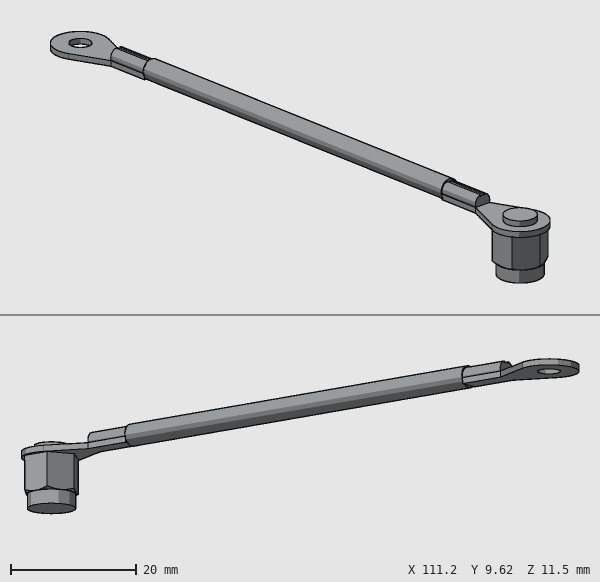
import cadquery as cq
import math

OVERALL_LENGTH = 111.25
OVERALL_HEIGHT = 11.52
EYE_DIAMETER = 9.62

PLATE_THICKNESS = 1.0
NECK_WIDTH = 3.1
PLATE_TOP_Z = -0.4
EYE_HOLE_DIAMETER = 3.7
LUG_END_TO_BARREL = 13.5

BARREL_WIDTH = 3.2
BARREL_TOP_Z = 1.5
BARREL_LOBE_RADIUS = 1.45
BARREL_GAP = 0.9
WIRE_RADIUS = 1.3

SLEEVE_RADIUS = 1.8
LUG_END_TO_SLEEVE = 21.2

HEAD_DIAMETER = 5.5
HEAD_HEIGHT = 1.0
NUT_ACROSS_FLATS = 8.0
NUT_COLLAR_DIAMETER = 7.75
NUT_COLLAR_HEIGHT = 2.3
NUT_CHAMFER_HEIGHT = 0.4

EYE_RADIUS = EYE_DIAMETER / 2
EYE_X = OVERALL_LENGTH / 2 - EYE_RADIUS
BARREL_END_X = OVERALL_LENGTH / 2 - LUG_END_TO_BARREL
SLEEVE_END_X = OVERALL_LENGTH / 2 - LUG_END_TO_SLEEVE
LOBE_OFFSET_Y = BARREL_WIDTH / 2 - BARREL_LOBE_RADIUS
LOBE_CENTRE_Z = BARREL_TOP_Z - BARREL_LOBE_RADIUS
PLATE_BOTTOM_Z = PLATE_TOP_Z - PLATE_THICKNESS
BOTTOM_Z = SLEEVE_RADIUS - OVERALL_HEIGHT
HEX_BOTTOM_Z = BOTTOM_Z + NUT_COLLAR_HEIGHT


def cylinder_along_x(radius, start_x, end_x, centre_y=0, centre_z=0):
    return cq.Workplane("YZ", origin=(start_x, centre_y, centre_z)).circle(radius).extrude(end_x - start_x)


def cylinder_along_z(diameter, x, bottom_z, top_z):
    return cq.Workplane("XY", origin=(x, 0, bottom_z)).circle(diameter / 2).extrude(top_z - bottom_z)


def lug_plate():
    """Right-hand lug: a round eye whose sides run tangentially into a straight tail."""
    neck_half_width = NECK_WIDTH / 2
    neck_offset = EYE_X - BARREL_END_X
    neck_distance = math.hypot(neck_offset, neck_half_width)
    tangent_angle = math.atan2(neck_half_width, neck_offset) + math.acos(EYE_RADIUS / neck_distance)
    tangent_x = EYE_X - EYE_RADIUS * math.cos(tangent_angle)
    tangent_y = EYE_RADIUS * math.sin(tangent_angle)
    return (
        cq.Workplane("XY", origin=(0, 0, PLATE_BOTTOM_Z))
        .moveTo(SLEEVE_END_X, -neck_half_width)
        .lineTo(BARREL_END_X, -neck_half_width)
        .lineTo(tangent_x, -tangent_y)
        .threePointArc((EYE_X + EYE_RADIUS, 0), (tangent_x, tangent_y))
        .lineTo(BARREL_END_X, neck_half_width)
        .lineTo(SLEEVE_END_X, neck_half_width)
        .close()
        .extrude(PLATE_THICKNESS)
    )


def crimp_barrel():
    """Right-hand barrel above the plate, its two lobes parted along the top down to the wire."""
    length = BARREL_END_X - SLEEVE_END_X
    middle_x = (BARREL_END_X + SLEEVE_END_X) / 2
    gap = cq.Workplane("XY", origin=(middle_x, 0, 0)).rect(length, BARREL_GAP).extrude(BARREL_TOP_Z)
    above_plate = (
        cq.Workplane("XY", origin=(middle_x, 0, PLATE_TOP_Z))
        .rect(length, BARREL_WIDTH)
        .extrude(BARREL_TOP_Z - PLATE_TOP_Z)
    )
    barrel = cylinder_along_x(WIRE_RADIUS, SLEEVE_END_X, BARREL_END_X)
    for side in (-1, 1):
        lobe = cylinder_along_x(
            BARREL_LOBE_RADIUS, SLEEVE_END_X, BARREL_END_X, side * LOBE_OFFSET_Y, LOBE_CENTRE_Z
        )
        barrel = barrel.union(lobe.cut(gap))
    return barrel.intersect(above_plate)


def nut():
    """Hexagon with corners on X, chamfered below down to a round collar."""
    across_corners = NUT_ACROSS_FLATS / math.cos(math.pi / 6)
    hexagon_height = PLATE_BOTTOM_Z - HEX_BOTTOM_Z
    hexagon = (
        cq.Workplane("XY", origin=(EYE_X, 0, HEX_BOTTOM_Z))
        .polygon(6, across_corners)
        .extrude(hexagon_height)
    )
    chamfer_width = (across_corners - NUT_ACROSS_FLATS) / 2
    chamfer_envelope = (
        cylinder_along_z(across_corners, EYE_X, HEX_BOTTOM_Z, PLATE_BOTTOM_Z)
        .faces("<Z")
        .chamfer(NUT_CHAMFER_HEIGHT, chamfer_width)
    )
    collar = cylinder_along_z(NUT_COLLAR_DIAMETER, EYE_X, BOTTOM_Z, HEX_BOTTOM_Z)
    return hexagon.intersect(chamfer_envelope).union(collar)


right_lug = lug_plate().union(crimp_barrel())
eye_hole = cylinder_along_z(EYE_HOLE_DIAMETER, -EYE_X, PLATE_BOTTOM_Z, PLATE_TOP_Z)
left_lug = right_lug.mirror("YZ").cut(eye_hole)
sleeve = cylinder_along_x(SLEEVE_RADIUS, -SLEEVE_END_X, SLEEVE_END_X)
stud_head = cylinder_along_z(HEAD_DIAMETER, EYE_X, PLATE_TOP_Z, PLATE_TOP_Z + HEAD_HEIGHT)

result = sleeve.union(left_lug).union(right_lug).union(stud_head).union(nut())